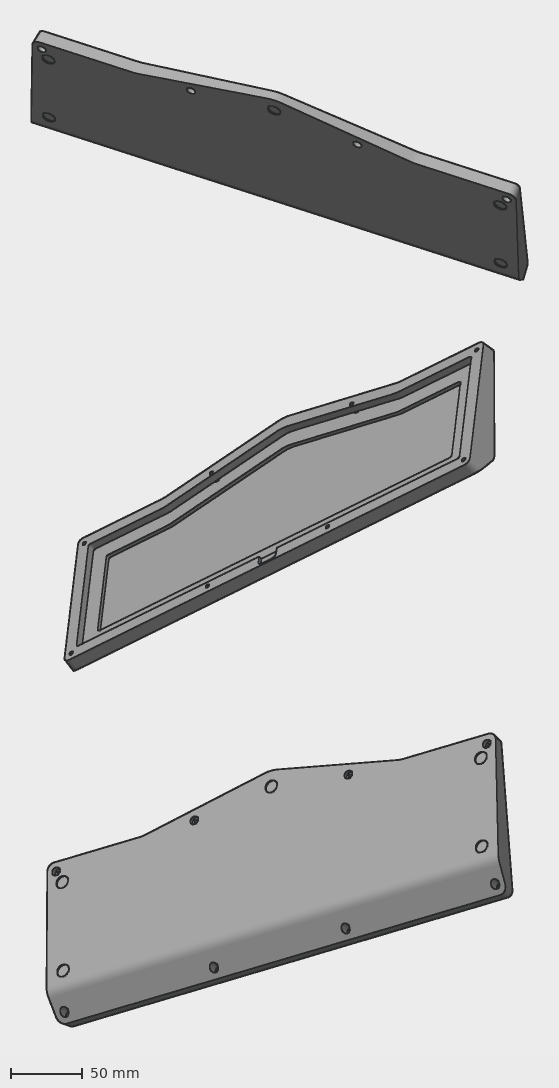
import cadquery as cq
import math


TILT = 7.8
DRAFT = 7.0
REAR_WIDTH = 359.5
SHOULDER_HEIGHT = 120.2
PEAK_HEIGHT = 142.8
GABLE_HALF_SPAN = 104.0
CORNER_RADIUS = 4.5
GABLE_RADIUS = 24.0

PEAK_THICKNESS = 7.22
WEDGE = 7.0
BEVEL_TOP_HEIGHT = 20.4
BOTTOM_THICKNESS = 10.6
BEVEL_BLEND_RADIUS = 12.0

RIM = 10.0
PLATE_DEPTH = 5.8
LEDGE = 12.8
INNER_STEP = 2.8
POCKET_RADIUS = 2.0

NOTCH_WIDTH = 15.6
NOTCH_DEPTH = 2.6
NOTCH_REACH = 8.6
NOTCH_RADIUS = 3.3

SCREW_DIAMETER = 3.0
SCREW_HEAD_DIAMETER = 6.3
SCREW_SEAT_DEPTH = 6.5
SCREW_POINTS = [(173.9, 6.0), (53.2, 6.0), (173.9, 113.8), (62.2, 121.8)]

FOOT_DIAMETER = 9.5
FOOT_RECESS = 1.0
SIDE_FOOT_OFFSET = 169.0
SIDE_FOOT_HEIGHTS = [33.8, 104.0]
PEAK_FOOT_HEIGHT = 130.6

CLEARANCE = 50.0
MARGIN = 1.0

tilt = math.radians(TILT)
wedge = math.radians(WEDGE)
front_direction = cq.Vector(0, -math.cos(tilt), -math.sin(tilt))
rear_plane = cq.Plane(origin=(0, 0, 0), xDir=(1, 0, 0), normal=front_direction)
side_plane = cq.Plane(origin=(0, 0, 0), xDir=front_direction, normal=(-1, 0, 0))


def front_depth(height):
    """Distance from the rear plane to the flat front face."""
    return PEAK_THICKNESS + (PEAK_HEIGHT - height) * math.tan(wedge)


def gabled_outline(inset, corner_radius):
    """Rounded gabled outline, moved inwards by inset from the case outline."""
    slope = math.atan2(PEAK_HEIGHT - SHOULDER_HEIGHT, GABLE_HALF_SPAN)
    half_width = REAR_WIDTH / 2 - inset
    shoulder = SHOULDER_HEIGHT - inset
    half_span = GABLE_HALF_SPAN - inset * math.tan(slope / 2)
    peak = PEAK_HEIGHT - inset / math.cos(slope)
    gable_box = cq.selectors.BoxSelector(
        (-half_span - MARGIN, shoulder - MARGIN, -MARGIN), (half_span + MARGIN, peak + MARGIN, MARGIN)
    )
    return (
        cq.Sketch()
        .polygon([
            (-half_width, inset),
            (half_width, inset),
            (half_width, shoulder),
            (half_span, shoulder),
            (0, peak),
            (-half_span, shoulder),
            (-half_width, shoulder),
            (-half_width, inset),
        ])
        .vertices(gable_box)
        .fillet(GABLE_RADIUS)
        .reset()
        .vertices(">X or <X")
        .fillet(corner_radius)
    )


def drafted_block():
    """Block that widens towards the front, thicker than the finished case."""
    outline = gabled_outline(0, CORNER_RADIUS)
    return cq.Workplane(rear_plane).placeSketch(outline).extrude(CLEARANCE, taper=-DRAFT)


def wedge_envelope():
    """Side profile swept across the case: front face, blended bevel, open elsewhere."""
    top = PEAK_HEIGHT + CLEARANCE
    bevel_top = (front_depth(BEVEL_TOP_HEIGHT), BEVEL_TOP_HEIGHT)
    bevel_slope = (bevel_top[0] - BOTTOM_THICKNESS) / BEVEL_TOP_HEIGHT
    low = -BOTTOM_THICKNESS / bevel_slope
    profile = (
        cq.Sketch()
        .polygon([
            (0, low),
            bevel_top,
            (front_depth(top), top),
            (0, top),
            (0, low),
        ])
        .vertices(cq.selectors.NearestToPointSelector((*bevel_top, 0)))
        .fillet(BEVEL_BLEND_RADIUS)
    )
    return cq.Workplane(side_plane).placeSketch(profile).extrude(REAR_WIDTH, both=True)


def pocket(inset, depth):
    """Pocket sunk from the rear plane, its walls inset from the case outline."""
    outline = gabled_outline(inset, POCKET_RADIUS)
    return cq.Workplane(rear_plane).placeSketch(outline).extrude(depth)


def rim_notch():
    """Blind notch in the lower rim, reaching well into the wide pocket."""
    height = NOTCH_REACH + NOTCH_WIDTH / 2
    middle = RIM - NOTCH_REACH + height / 2
    shape = cq.Sketch().rect(NOTCH_WIDTH, height).vertices("<Y").fillet(NOTCH_RADIUS)
    return cq.Workplane(rear_plane).center(0, middle).placeSketch(shape).extrude(NOTCH_DEPTH)


def screw_holes():
    """Through holes with head bores sunk from the front."""
    points = [(side * x, height) for x, height in SCREW_POINTS for side in (-1, 1)]
    shanks = cq.Workplane(rear_plane).pushPoints(points).circle(SCREW_DIAMETER / 2).extrude(CLEARANCE)
    heads = (
        cq.Workplane(rear_plane)
        .workplane(offset=SCREW_SEAT_DEPTH)
        .pushPoints(points)
        .circle(SCREW_HEAD_DIAMETER / 2)
        .extrude(CLEARANCE)
    )
    return shanks.union(heads)


def foot_recess(x, height):
    """Shallow round recess square to the front face."""
    inward = cq.Vector(0, math.cos(tilt - wedge), math.sin(tilt - wedge))
    centre = rear_plane.toWorldCoords((x, height, front_depth(height)))
    foot_plane = cq.Plane(origin=centre, xDir=(1, 0, 0), normal=inward)
    return cq.Workplane(foot_plane).circle(FOOT_DIAMETER / 2).extrude(FOOT_RECESS)


result = drafted_block().intersect(wedge_envelope())
result = result.cut(pocket(RIM, PLATE_DEPTH))
result = result.cut(pocket(RIM + LEDGE, PLATE_DEPTH + INNER_STEP))
result = result.cut(rim_notch())
result = result.cut(screw_holes())
for foot_height in SIDE_FOOT_HEIGHTS:
    for foot_x in (-SIDE_FOOT_OFFSET, SIDE_FOOT_OFFSET):
        result = result.cut(foot_recess(foot_x, foot_height))
result = result.cut(foot_recess(0, PEAK_FOOT_HEIGHT))